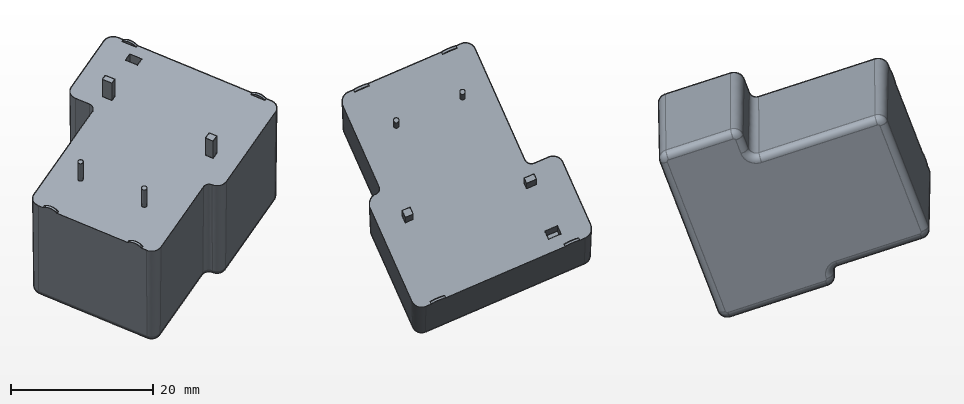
import cadquery as cq
import math

body_x = 27.432
body_y = 32.512
total_z = 23.75
pin_length = 3.75
body_z = total_z - pin_length

half_x = body_x / 2
half_y = body_y / 2
left_notch_width = 4.75
left_shoulder_y = 3.56
right_notch_width = 2.37
right_shoulder_y = -1.30
stem_left_x = -half_x + left_notch_width
stem_right_x = half_x - right_notch_width

outer_corner_radius = 1.52
left_inner_radius = 1.02
right_inner_radius = right_notch_width - outer_corner_radius
bottom_edge_radius = 1.10
draft_angle = 0.47

blade_pins = [
    (-8.27, 6.07, 1.52, 0.84),
    (9.44, 3.58, 1.22, 1.09),
]
round_pin_diameter = 0.76
round_pin_xs = (-4.53, 5.63)
round_pin_y = -9.13

slot_x = 1.91
slot_y = 1.27
slot_depth = pin_length
slot_center = (-8.40, 13.72)

foot_width = 2.24
foot_height = 0.46
foot_thickness = 0.38
back_foot_offset = 10.27
front_foot_offset = 6.74
stem_center_x = (stem_left_x + stem_right_x) / 2

touching_gap = 1e-6


def rounded_outline(corners):
    """Closed wire through (x, y, radius) corners at right angles, each rounded by an arc."""
    wire = None
    last_end = None
    for i, (x, y, radius) in enumerate(corners):
        before = corners[i - 1]
        after = corners[(i + 1) % len(corners)]
        corner = cq.Vector(x, y)
        back = (cq.Vector(before[0], before[1]) - corner).normalized()
        ahead = (cq.Vector(after[0], after[1]) - corner).normalized()
        start = corner + back * radius
        middle = corner + (back + ahead) * (radius * (1 - math.sqrt(0.5)))
        end = corner + ahead * radius
        if wire is None:
            wire = cq.Workplane("XY").moveTo(start.x, start.y)
        elif (start - last_end).Length > touching_gap:
            wire = wire.lineTo(start.x, start.y)
        wire = wire.threePointArc((middle.x, middle.y), (end.x, end.y))
        last_end = end
    return wire.close()


def housing_outline():
    """Outline of the housing at the top face, with a notch at each front corner."""
    return rounded_outline([
        (-half_x, half_y, outer_corner_radius),
        (-half_x, left_shoulder_y, outer_corner_radius),
        (stem_left_x, left_shoulder_y, left_inner_radius),
        (stem_left_x, -half_y, outer_corner_radius),
        (stem_right_x, -half_y, outer_corner_radius),
        (stem_right_x, right_shoulder_y, right_inner_radius),
        (half_x, right_shoulder_y, outer_corner_radius),
        (half_x, half_y, outer_corner_radius),
    ])


def housing():
    """Block that narrows downwards and has a rounded lower edge."""
    block = housing_outline().extrude(-body_z, taper=draft_angle)
    return block.faces("<Z").edges().fillet(bottom_edge_radius)


def blade_pin(x, y, size_x, size_y):
    return cq.Workplane("XY").center(x, y).rect(size_x, size_y).extrude(pin_length)


def round_pin(x, y):
    return cq.Workplane("XY").center(x, y).circle(round_pin_diameter / 2).extrude(pin_length)


def foot_segment(x, end):
    """Circular segment along the end wall at +Y (end = 1) or -Y (end = -1), running past the wall."""
    inner_y = end * (half_y - foot_thickness)
    profile = (
        cq.Workplane("XZ", origin=(x, inner_y, 0))
        .moveTo(-foot_width / 2, 0)
        .threePointArc((0, foot_height), (foot_width / 2, 0))
        .close()
    )
    return profile.extrude(-end * 2 * foot_thickness)


def feet():
    """Four segments, trimmed by the drafted walls carried on above the top face."""
    walls_above = housing_outline().extrude(foot_height, taper=-draft_angle)
    pads = []
    for side in (-1, 1):
        pads.append(walls_above.intersect(foot_segment(side * back_foot_offset, 1)))
        front_x = stem_center_x + side * front_foot_offset
        pads.append(walls_above.intersect(foot_segment(front_x, -1)))
    return pads


def slot():
    opening = cq.Workplane("XY").center(*slot_center).rect(slot_x, slot_y)
    return opening.extrude(-slot_depth)


result = housing().cut(slot())
for pin in blade_pins:
    result = result.union(blade_pin(*pin))
for pin_x in round_pin_xs:
    result = result.union(round_pin(pin_x, round_pin_y))
for pad in feet():
    result = result.union(pad)